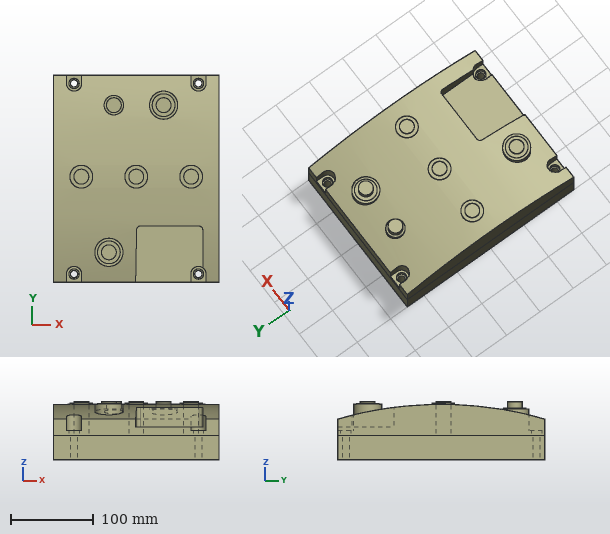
import cadquery as cq

width = 200.0
length = 250.0
total_height = 70.0

base_height = 29.0
cover_edge_z = 49.0
cover_crown_z = 67.0

screw_x = 75.0
screw_y = 115.0
seat_radius = 9.2
seat_floor_z = 35.5
cover_screw_hole_radius = 6.2
base_screw_hole_radius = 4.2

pocket_back_y = -57.0
pocket_right_x = 80.2
pocket_left_back_x = 0.5
pocket_left_front_x = -0.8
pocket_floor_z = 39.5
pocket_corner_radius = 4.8

button_pitch = 66.2
button_row_y = 2.5
button_radius = 9.0
button_ring_radius = 13.8
button_ring_top_z = 68.2

control_x = 33.0
control_y = 88.8
control_boss_radius = 17.0
control_collar_radius = 13.8
control_collar_height = 0.8
control_stem_radius = 9.0
front_control_boss_top_z = 67.0
back_control_boss_top_z = 61.5

small_control_x = -27.0
small_control_boss_radius = 11.8
small_control_boss_top_z = 61.5
small_control_stem_radius = 9.0

screw_points = [(sx * screw_x, sy * screw_y) for sx in (-1, 1) for sy in (-1, 1)]
button_points = [(i * button_pitch, button_row_y) for i in (-1, 0, 1)]


def cylinder(x, y, radius, bottom_z, top_z):
    """Upright cylinder at (x, y) between two heights."""
    return cq.Workplane("XY", origin=(x, y, bottom_z)).circle(radius).extrude(top_z - bottom_z)


def make_base():
    base = cq.Workplane("XY").box(width, length, base_height, centered=(True, True, False))
    for x, y in screw_points:
        base = base.cut(cylinder(x, y, base_screw_hole_radius, 0, base_height))
    return base


def make_crowned_block():
    """Block with an arched top, extruded along X."""
    return (
        cq.Workplane("YZ", origin=(-width / 2, 0, 0))
        .moveTo(-length / 2, base_height)
        .lineTo(length / 2, base_height)
        .lineTo(length / 2, cover_edge_z)
        .threePointArc((0, cover_crown_z), (-length / 2, cover_edge_z))
        .close()
        .extrude(width)
    )


def make_stepped_control(x, y, steps):
    """Stack of cylinders, each (radius, top height), all rooted in the cover."""
    control = cylinder(x, y, steps[0][0], base_height, steps[0][1])
    for radius, top_z in steps[1:]:
        control = control.union(cylinder(x, y, radius, base_height, top_z))
    return control


def make_large_control(x, y, boss_top_z):
    return make_stepped_control(x, y, [
        (control_boss_radius, boss_top_z),
        (control_collar_radius, boss_top_z + control_collar_height),
        (control_stem_radius, total_height),
    ])


def make_small_control():
    return make_stepped_control(small_control_x, control_y, [
        (small_control_boss_radius, small_control_boss_top_z),
        (small_control_stem_radius, total_height),
    ])


def make_pocket_cutter():
    front_y = -length / 2
    return (
        cq.Workplane("XY", origin=(0, 0, pocket_floor_z))
        .moveTo(pocket_left_front_x, front_y)
        .lineTo(pocket_right_x, front_y)
        .lineTo(pocket_right_x, pocket_back_y)
        .lineTo(pocket_left_back_x, pocket_back_y)
        .close()
        .extrude(total_height - pocket_floor_z)
        .edges("|Z and >Y")
        .fillet(pocket_corner_radius)
    )


def make_screw_seat_cutter(x, y):
    """Round-ended slot running out of the nearest end, with a screw hole through its floor."""
    end_y = length / 2 if y > 0 else -length / 2
    slot_height = total_height - seat_floor_z
    slot = cq.Workplane("XY", origin=(x, (y + end_y) / 2, seat_floor_z)).box(
        2 * seat_radius, abs(end_y - y), slot_height, centered=(True, True, False)
    )
    return (
        slot
        .union(cylinder(x, y, seat_radius, seat_floor_z, total_height))
        .union(cylinder(x, y, cover_screw_hole_radius, base_height, total_height))
    )


def make_cover():
    cover = make_crowned_block()
    for x, y in button_points:
        cover = cover.union(cylinder(x, y, button_ring_radius, base_height, button_ring_top_z))
        cover = cover.cut(cylinder(x, y, button_radius, base_height, total_height))
    cover = cover.union(make_large_control(-control_x, -control_y, front_control_boss_top_z))
    cover = cover.union(make_large_control(control_x, control_y, back_control_boss_top_z))
    cover = cover.union(make_small_control())
    cover = cover.cut(make_pocket_cutter())
    for x, y in screw_points:
        cover = cover.cut(make_screw_seat_cutter(x, y))
    return cover


def make_button(x, y):
    """Plain round plunger standing on the base inside its hole in the cover."""
    return cylinder(x, y, button_radius, base_height, total_height)


base = make_base()
cover = make_cover()
buttons = [make_button(x, y).val() for x, y in button_points]

result = cq.Compound.makeCompound([base.val(), cover.val(), *buttons])